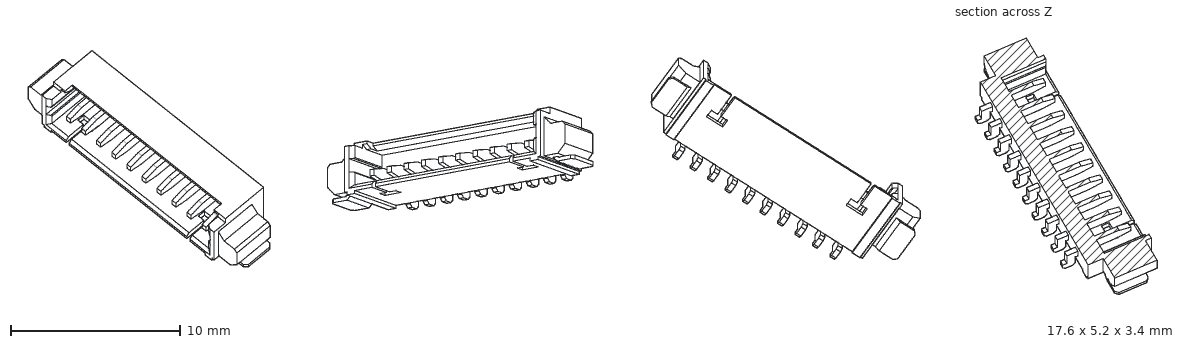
import cadquery as cq


body_length = 14.25
body_depth = 4.2
body_bottom = 0.18
body_top = 3.4
foot_outer_x = 6.95
foot_width = 0.57

cavity_half_length = 6.5
cavity_floor = 0.6
cavity_ceiling = 3.0
cavity_depth = 2.95
lead_in_depth = 0.19
lead_in_side = 0.31
lead_in_floor = 0.22
roof_bevel_height = 0.23
roof_bevel_depth = 0.4

roof_front_y = 0.97
roof_window_y = 1.6
roof_window_half_length = 6.18

groove_half_length = cavity_half_length + lead_in_side
groove_bottom = 1.39
groove_top = 2.2
groove_edge_bevel = 0.06

slot_x = 5.0
slot_width = 0.25
slot_opening_width = 1.15
slot_opening_front_y = 1.45
slot_opening_back_y = 1.95

pin_count = 10
pin_pitch = 1.25
pin_width = 0.32
pin_bottom = 0.96
pin_top = 1.75
pin_tip_y = 0.7
pin_taper_length = 0.95
pin_tip_bottom = 1.13
pin_tip_top = 1.51
tail_end_y = 5.2
tail_top = 1.33
tail_arm_bottom = 0.8
tail_inner_y = 4.36
tail_outer_y = 4.93
tail_foot_top = 0.49
tail_foot_bevel = 0.18

wing_front_y = 0.38
wing_back_y = 3.2
wing_outer_x = 8.65
wing_bottom = 0.28
wing_top = 2.2
wing_top_bevel = 0.2
wing_bottom_bevel = 0.53
wing_ramp_x = 7.6
wing_ramp_top = 2.67
tab_outer_x = 8.825
tab_front_y = roof_front_y
tab_thickness = 0.23
tab_bend_x = 7.63
tab_corner = 0.2

overlap = 0.1


def box(x0, x1, y0, y1, z0, z1):
    """Box between two opposite corners."""
    return cq.Workplane("XY").box(x1 - x0, y1 - y0, z1 - z0, centered=False).translate((x0, y0, z0))


def prism_along_x(yz_points, half_length):
    """Y-Z outline extruded symmetrically about X = 0."""
    return cq.Workplane("YZ").polyline(yz_points).close().extrude(half_length, both=True)


def prism_along_y(xz_points, y0, y1):
    """X-Z outline extruded from y0 to y1."""
    return cq.Workplane("XZ", origin=(0, y0, 0)).polyline(xz_points).close().extrude(y0 - y1)


def both_ends(piece):
    """The piece together with its mirror image at the other end of the part."""
    return piece.union(piece.mirror("YZ"))


def make_housing():
    half_length = body_length / 2
    housing = box(-half_length, half_length, 0, body_depth, body_bottom, body_top)
    foot = box(foot_outer_x - foot_width, foot_outer_x, 0, body_depth, 0, body_bottom + overlap)
    return housing.union(both_ends(foot))


def cut_cavity(housing):
    cavity = box(-cavity_half_length, cavity_half_length, 0, cavity_depth, cavity_floor, cavity_ceiling)
    front_step = box(-body_length / 2, body_length / 2, 0, roof_front_y, cavity_ceiling, body_top)
    roof_window = box(
        -roof_window_half_length, roof_window_half_length, 0, roof_window_y, cavity_floor, body_top
    )
    return housing.cut(cavity).cut(front_step).cut(roof_window)


def cut_lead_ins(housing):
    """Bevel the floor, the end walls and the roof edges at the mouth of the cavity."""
    floor_bevel = prism_along_x(
        [(0, cavity_floor - lead_in_floor), (lead_in_depth, cavity_floor), (0, cavity_floor)],
        cavity_half_length,
    )
    mouth_height = cavity_ceiling - cavity_floor + lead_in_floor
    side_bevel = (
        cq.Workplane("XY", origin=(0, 0, cavity_ceiling - mouth_height))
        .polyline([(cavity_half_length, 0), (groove_half_length, 0), (cavity_half_length, lead_in_depth)])
        .close()
        .extrude(mouth_height)
    )
    floor_slope = prism_along_x(
        [
            (0, cavity_floor - lead_in_floor),
            (lead_in_depth, cavity_floor),
            (lead_in_depth, cavity_ceiling),
            (0, cavity_ceiling),
        ],
        groove_half_length,
    )
    housing = housing.cut(floor_bevel).cut(both_ends(side_bevel).intersect(floor_slope))

    for edge_y, half_length in (
        (roof_front_y, cavity_half_length),
        (roof_window_y, roof_window_half_length),
    ):
        roof_bevel = prism_along_x(
            [
                (edge_y, cavity_ceiling),
                (edge_y + roof_bevel_depth, cavity_ceiling),
                (edge_y, cavity_ceiling + roof_bevel_height),
            ],
            half_length,
        )
        housing = housing.cut(roof_bevel)
    return housing


def cut_grooves(housing):
    inner_x = cavity_half_length
    bevel = groove_edge_bevel
    groove = prism_along_y(
        [
            (inner_x - overlap, groove_bottom - bevel),
            (inner_x, groove_bottom - bevel),
            (inner_x + bevel, groove_bottom),
            (groove_half_length, groove_bottom),
            (groove_half_length, groove_top),
            (inner_x + bevel, groove_top),
            (inner_x, groove_top + bevel),
            (inner_x - overlap, groove_top + bevel),
        ],
        0,
        cavity_depth,
    )
    return housing.cut(both_ends(groove))


def cut_floor_slots(housing):
    half_slot = slot_width / 2
    half_opening = slot_opening_width / 2
    slot = box(slot_x - half_slot, slot_x + half_slot, 0, slot_opening_back_y, 0, cavity_floor)
    opening = box(
        slot_x - half_opening,
        slot_x + half_opening,
        slot_opening_front_y,
        slot_opening_back_y,
        0,
        cavity_floor,
    )
    return housing.cut(both_ends(slot.union(opening)))


def make_wing():
    """Wing and solder tab at the +X end."""
    inner_x = body_length / 2 - overlap
    wall_x = body_length / 2
    wing = prism_along_y(
        [
            (inner_x, wing_bottom),
            (wing_outer_x - wing_bottom_bevel, wing_bottom),
            (wing_outer_x, wing_bottom + wing_bottom_bevel),
            (wing_outer_x, wing_top - wing_top_bevel),
            (wing_outer_x - wing_top_bevel, wing_top),
            (wing_ramp_x, wing_top),
            (wall_x, wing_ramp_top),
            (inner_x, wing_ramp_top),
        ],
        wing_front_y,
        wing_back_y,
    )
    bend_rise = wing_bottom + overlap
    bend_inner_x = tab_bend_x + tab_thickness / 2
    tab = prism_along_y(
        [
            (tab_outer_x, 0),
            (tab_outer_x, tab_thickness),
            (bend_inner_x, tab_thickness),
            (bend_inner_x - (bend_rise - tab_thickness), bend_rise),
            (tab_bend_x - bend_rise, bend_rise),
            (tab_bend_x, 0),
        ],
        tab_front_y,
        wing_back_y,
    )
    tab = tab.edges("|Z and >X").chamfer(tab_corner)
    return wing.union(tab)


def make_pin(x):
    """One pin: tapered blade in the cavity, stepped solder tail behind the housing."""
    taper_y = pin_tip_y + pin_taper_length
    blade_end_y = cavity_depth + overlap
    side = [
        (pin_tip_y, pin_tip_bottom),
        (taper_y, pin_bottom),
        (blade_end_y, pin_bottom),
        (blade_end_y, tail_arm_bottom),
        (tail_inner_y, tail_arm_bottom),
        (tail_inner_y, tail_foot_bevel),
        (tail_inner_y + tail_foot_bevel, 0),
        (tail_end_y - tail_foot_bevel, 0),
        (tail_end_y, tail_foot_bevel),
        (tail_end_y, tail_foot_top),
        (tail_outer_y, tail_foot_top),
        (tail_outer_y, tail_top),
        (blade_end_y, tail_top),
        (blade_end_y, pin_top),
        (taper_y, pin_top),
        (pin_tip_y, pin_tip_top),
    ]
    return prism_along_x(side, pin_width / 2).translate((x, 0, 0))


housing = make_housing()
housing = cut_cavity(housing)
housing = cut_lead_ins(housing)
housing = cut_grooves(housing)
housing = cut_floor_slots(housing)

result = housing.union(both_ends(make_wing()))
for index in range(pin_count):
    result = result.union(make_pin((index - (pin_count - 1) / 2) * pin_pitch))